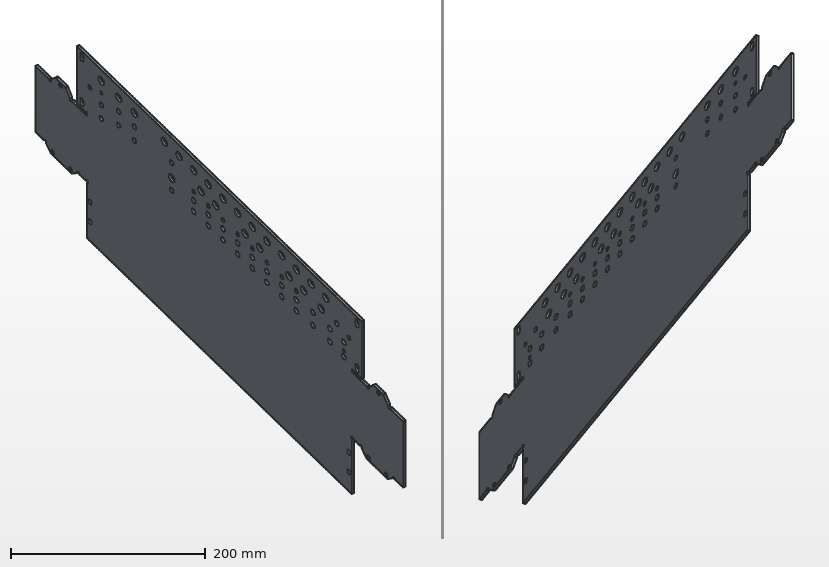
import cadquery as cq

length = 621.0
height = 279.5
thickness = 3.05

half_length = length / 2
half_height = height / 2
upper_half_width = 240.5
lower_half_width = 223.5
upper_bottom = 51.5
wing_top = 48.0
wing_bottom = -53.5

upper_tab_x = 268.0
upper_tab_root = 35.0
upper_tab_tip = 17.0
upper_tab_rise = 12.0
lower_tab_x = 266.5
lower_tab_root = 55.0
lower_tab_tip = 36.0
lower_tab_rise = 10.0
lower_tab_hole_spacing = 30.0
upper_tab_hole_z = 54.5
lower_tab_hole_z = -59.0

large_dia = 10.0
medium_dia = 7.0
screw_dia = 6.0
small_dia = 5.0
pin_dia = 4.05
relief_dia = 3.0

slot_length = 11.0
slot_width = 5.5
slot_x = 232.0
slot_heights = (130.0, 61.0)

edge_hole_x = 218.5
upper_edge_hole_z = 95.5
lower_edge_hole_heights = (-80.0, -110.5)

column_count = 8
first_column_x = -43.5
last_column_x = 130.0
pitch = (last_column_x - first_column_x) / (column_count - 1)

top_row_count = 12
first_column = 2
top_row_z = 122.5
second_row_z = 101.0
small_row_z = 89.5
medium_row_heights = (76.0, 59.0)
second_row_positions = (2.5, 3.5, 5.5, 6.5, 8.5, 9.5)

left_outer_x = -199.5
left_middle_x = -170.0
left_inner_x = -143.5
left_screw_rows = (second_row_z, 80.0)
left_outer_pin_z = 104.5
left_outer_screw_heights = (86.0, 64.5)

half_column = 0.5
half_column_large_z = 77.5
half_column_screw_heights = (second_row_z, medium_row_heights[1])

right_columns = (158.0, 186.0)
right_column_heights = (81.5, 61.5)
right_outer_x = 210.0
right_outer_heights = (right_column_heights[0], medium_row_heights[1])
right_pin_z = 68.5
right_top_z = 99.5
right_large_x = 172.0
right_screw_x = 198.0


def row_x(position):
    """X of a place in the top row; half positions lie between two holes."""
    return first_column_x + (position - first_column) * pitch


def mirrored(points):
    """The points together with their mirror images about X = 0."""
    return [(side * x, z) for side in (1, -1) for x, z in points]


def back_plane():
    """Workplane on the +Y face, extruding through the sheet toward -Y."""
    return cq.Workplane("XZ", origin=(0, thickness / 2, 0))


def panel(half_width, bottom, top):
    """Rectangular piece of sheet centred on X = 0."""
    middle = (bottom + top) / 2
    return back_plane().center(0, middle).rect(2 * half_width, top - bottom).extrude(thickness)


def tab(x, root_z, root, tip, rise):
    """Trapezoidal tab; a negative rise points it downward."""
    outline = [
        (x - root / 2, root_z),
        (x + root / 2, root_z),
        (x + tip / 2, root_z + rise),
        (x - tip / 2, root_z + rise),
    ]
    return back_plane().polyline(outline).close().extrude(thickness)


def holes(diameter, points):
    """Cutter for round through holes at the given X, Z points."""
    return back_plane().pushPoints(points).circle(diameter / 2).extrude(thickness)


def build_outline():
    """The three panels with their tabs and corner reliefs."""
    sheet = panel(lower_half_width, -half_height, half_height)
    sheet = sheet.union(panel(half_length, wing_bottom, wing_top))
    sheet = sheet.union(panel(upper_half_width, upper_bottom, half_height))
    for side in (1, -1):
        sheet = sheet.union(
            tab(side * upper_tab_x, wing_top, upper_tab_root, upper_tab_tip, upper_tab_rise)
        )
        sheet = sheet.union(
            tab(side * lower_tab_x, wing_bottom, lower_tab_root, lower_tab_tip, -lower_tab_rise)
        )

    corners = [
        (upper_tab_x - upper_tab_root / 2, wing_top),
        (upper_tab_x + upper_tab_root / 2, wing_top),
        (lower_tab_x - lower_tab_root / 2, wing_bottom),
        (lower_tab_x + lower_tab_root / 2, wing_bottom),
        (lower_half_width, wing_bottom),
    ]
    return sheet.cut(holes(relief_dia, mirrored(corners)))


def cut_mounting_features(sheet):
    """Symmetric slots and holes used to fasten the folded sheet."""
    slot_points = mirrored([(slot_x, z) for z in slot_heights])
    slots = back_plane().pushPoints(slot_points).slot2D(slot_length, slot_width, 90)
    sheet = sheet.cut(slots.extrude(thickness))

    lower_edge_points = [(edge_hole_x, z) for z in lower_edge_hole_heights]
    sheet = sheet.cut(holes(screw_dia, mirrored(lower_edge_points)))

    small_points = [
        (edge_hole_x, upper_edge_hole_z),
        (upper_tab_x, upper_tab_hole_z),
        (lower_tab_x - lower_tab_hole_spacing / 2, lower_tab_hole_z),
        (lower_tab_x + lower_tab_hole_spacing / 2, lower_tab_hole_z),
    ]
    return sheet.cut(holes(small_dia, mirrored(small_points)))


def cut_main_rows(sheet):
    """Top row and the rows of columns under it."""
    columns = [row_x(first_column + i) for i in range(column_count)]
    large_points = [(row_x(i), top_row_z) for i in range(top_row_count)]
    large_points += [(row_x(i), second_row_z) for i in second_row_positions]
    sheet = sheet.cut(holes(large_dia, large_points))
    sheet = sheet.cut(holes(small_dia, [(x, small_row_z) for x in columns]))
    return sheet.cut(holes(medium_dia, [(x, z) for x in columns for z in medium_row_heights]))


def cut_left_group(sheet):
    """Three columns at the left end and the column inside the top row."""
    half_column_x = row_x(half_column)
    large_points = [(x, top_row_z) for x in (left_outer_x, left_middle_x, left_inner_x)]
    large_points.append((half_column_x, half_column_large_z))

    screw_points = [(x, z) for x in (left_middle_x, left_inner_x) for z in left_screw_rows]
    screw_points += [(left_outer_x, z) for z in left_outer_screw_heights]
    screw_points += [(half_column_x, z) for z in half_column_screw_heights]

    sheet = sheet.cut(holes(large_dia, large_points))
    sheet = sheet.cut(holes(screw_dia, screw_points))
    return sheet.cut(holes(pin_dia, [(left_outer_x, left_outer_pin_z)]))


def cut_right_group(sheet):
    """Holes right of the eight columns."""
    medium_points = [(x, z) for x in right_columns for z in right_column_heights]
    medium_points += [(right_outer_x, z) for z in right_outer_heights]
    sheet = sheet.cut(holes(medium_dia, medium_points))
    sheet = sheet.cut(holes(large_dia, [(right_large_x, right_top_z)]))
    sheet = sheet.cut(holes(screw_dia, [(right_screw_x, right_top_z)]))
    return sheet.cut(holes(pin_dia, [(right_outer_x, right_pin_z)]))


result = build_outline()
result = cut_mounting_features(result)
result = cut_main_rows(result)
result = cut_left_group(result)
result = cut_right_group(result)